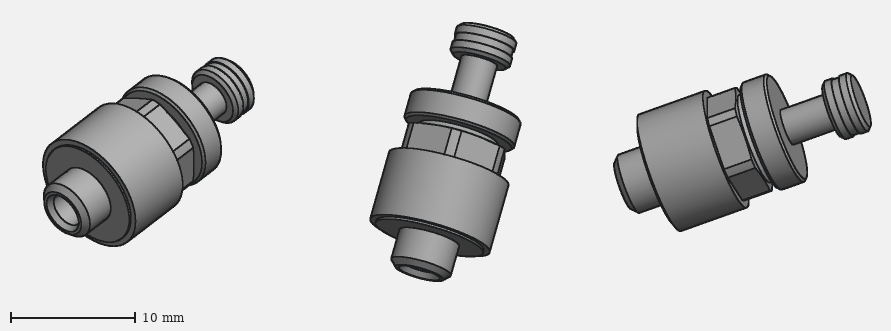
import cadquery as cq
import math

SPIGOT_END = 3.0
RIM_END = 3.2
COLLAR_END = 8.9
HEX_END = 11.4
FLANGE_START = 11.9
FLANGE_END = 14.2
HEAD_START = 18.1
HEAD_END = 20.6

SPIGOT_DIA = 5.0
RIM_DIA = 9.0
COLLAR_DIA = 10.0
FLANGE_DIA = 9.2
SHANK_DIA = 3.0
HEAD_DIA = 5.0
GROOVE_DIA = 4.8
CONE_SMALL_DIA = 6.5
CONE_LARGE_DIA = 7.5

SPIGOT_CHAMFER = 0.5
FLANGE_CHAMFER = 0.2
HEAD_CHAMFER = 0.3

HEX_SIDES = 6
HEX_HALF_SECTOR = 180 / HEX_SIDES
HEX_FLATS = 8.0
HEX_CORNER_DIA = 8.8
HEX_CHAMFER_ANGLE = 10.0

GROOVE_WIDTH = 0.65

BORE_DIA = 2.86
BORE_MOUTH_RADIAL = 0.3
BORE_MOUTH_DIA = BORE_DIA + 2 * BORE_MOUTH_RADIAL
BORE_MOUTH_HALF_ANGLE = 30.0
BORE_MOUTH_DEPTH = BORE_MOUTH_RADIAL / math.tan(math.radians(BORE_MOUTH_HALF_ANGLE))
BORE_DEPTH = 5.0


def cylinder(diameter, start, end):
    """Round bar on the Y axis between two stations."""
    return cq.Workplane("XZ", origin=(0, start, 0)).circle(diameter / 2).extrude(start - end)


def cone(start_diameter, end_diameter, start, end):
    """Truncated cone on the Y axis between two stations."""
    profile = [(0, start), (start_diameter / 2, start), (end_diameter / 2, end), (0, end)]
    return cq.Workplane("XY").polyline(profile).close().revolve(360, (0, 0, 0), (0, 1, 0))


def make_spigot():
    spigot = cylinder(SPIGOT_DIA, 0, SPIGOT_END)
    return spigot.faces("<Y").chamfer(SPIGOT_CHAMFER)


def make_collar():
    rim = cylinder(RIM_DIA, SPIGOT_END, RIM_END)
    return rim.union(cylinder(COLLAR_DIA, RIM_END, COLLAR_END))


def make_hexagon():
    """Hexagon with two flats facing X, its corners turned round and its rear end chamfered."""
    corner_to_corner = HEX_FLATS / math.cos(math.radians(HEX_HALF_SECTOR))
    prism = (
        cq.Workplane("XZ", origin=(0, COLLAR_END, 0))
        .transformed(rotate=(0, 0, HEX_HALF_SECTOR))
        .polygon(HEX_SIDES, corner_to_corner)
        .extrude(COLLAR_END - HEX_END)
    )
    chamfer_radial = (HEX_CORNER_DIA - CONE_LARGE_DIA) / 2
    chamfer_length = chamfer_radial * math.tan(math.radians(HEX_CHAMFER_ANGLE))
    chamfer_start = HEX_END - chamfer_length
    envelope = cylinder(HEX_CORNER_DIA, COLLAR_END, chamfer_start)
    envelope = envelope.union(cone(HEX_CORNER_DIA, CONE_LARGE_DIA, chamfer_start, HEX_END))
    return prism.intersect(envelope)


def make_flange():
    flange = cylinder(FLANGE_DIA, FLANGE_START, FLANGE_END)
    return flange.faces("<Y or >Y").chamfer(FLANGE_CHAMFER)


def make_head():
    head = cylinder(HEAD_DIA, HEAD_START, HEAD_END)
    head = head.faces("<Y or >Y").chamfer(HEAD_CHAMFER)
    groove_start = (HEAD_START + HEAD_END - GROOVE_WIDTH) / 2
    groove_end = groove_start + GROOVE_WIDTH
    groove = cylinder(HEAD_DIA, groove_start, groove_end)
    groove = groove.cut(cylinder(GROOVE_DIA, groove_start, groove_end))
    return head.cut(groove)


def make_bore():
    mouth = cone(BORE_MOUTH_DIA, BORE_DIA, 0, BORE_MOUTH_DEPTH)
    return mouth.union(cylinder(BORE_DIA, BORE_MOUTH_DEPTH, BORE_DEPTH))


result = (
    make_spigot()
    .union(make_collar())
    .union(make_hexagon())
    .union(cone(CONE_LARGE_DIA, CONE_SMALL_DIA, HEX_END, FLANGE_START))
    .union(make_flange())
    .union(cylinder(SHANK_DIA, FLANGE_END, HEAD_START))
    .union(make_head())
    .cut(make_bore())
)